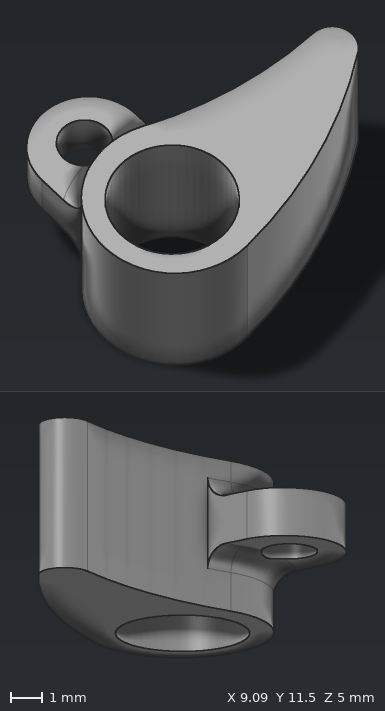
import cadquery as cq
import math

height = 5.0
boss_radius = 3.0
boss_center = (0.0, 0.12)
bore_diameter = 4.3
tip_radius = 0.84
tip_center = (-1.2, 7.81)
concave_radius = 14.3
convex_radius = 16.67

lug_half_width = 2.0
lug_end_center_x = -4.09
lug_hole_x = -4.3
lug_hole_diameter = 1.8
lug_bottom = 2.0
lug_thickness = 1.6
lug_fillet = 0.7


def circle_crossing(center_a, radius_a, center_b, radius_b):
    """Crossing of two circles that lies left of the direction from a to b."""
    dx = center_b[0] - center_a[0]
    dy = center_b[1] - center_a[1]
    distance = math.hypot(dx, dy)
    along = (distance**2 + radius_a**2 - radius_b**2) / (2 * distance)
    across = math.sqrt(radius_a**2 - along**2)
    return (
        center_a[0] + (along * dx - across * dy) / distance,
        center_a[1] + (along * dy + across * dx) / distance,
    )


def point_toward(center, target, distance):
    """Point at a signed distance from center along the line to target."""
    dx = target[0] - center[0]
    dy = target[1] - center[1]
    scale = distance / math.hypot(dx, dy)
    return (center[0] + scale * dx, center[1] + scale * dy)


def make_body():
    concave_center = circle_crossing(
        boss_center, concave_radius + boss_radius, tip_center, concave_radius + tip_radius
    )
    convex_center = circle_crossing(
        boss_center, convex_radius - boss_radius, tip_center, convex_radius - tip_radius
    )

    boss_left = point_toward(boss_center, concave_center, boss_radius)
    tip_left = point_toward(tip_center, concave_center, tip_radius)
    boss_right = point_toward(boss_center, convex_center, -boss_radius)
    tip_right = point_toward(tip_center, convex_center, -tip_radius)

    flank_middle = ((boss_center[0] + tip_center[0]) / 2, (boss_center[1] + tip_center[1]) / 2)
    concave_middle = point_toward(concave_center, flank_middle, concave_radius)
    convex_middle = point_toward(convex_center, flank_middle, convex_radius)
    tip_top = (tip_center[0], tip_center[1] + tip_radius)
    boss_bottom = (boss_center[0], boss_center[1] - boss_radius)

    return (
        cq.Workplane("XY")
        .moveTo(*boss_left)
        .threePointArc(concave_middle, tip_left)
        .threePointArc(tip_top, tip_right)
        .threePointArc(convex_middle, boss_right)
        .threePointArc(boss_bottom, boss_left)
        .close()
        .extrude(height)
    )


def make_lug():
    return (
        cq.Workplane("XY", origin=(0, 0, lug_bottom))
        .moveTo(0, lug_half_width)
        .lineTo(lug_end_center_x, lug_half_width)
        .threePointArc(
            (lug_end_center_x - lug_half_width, 0), (lug_end_center_x, -lug_half_width)
        )
        .lineTo(0, -lug_half_width)
        .close()
        .extrude(lug_thickness)
    )


def root_edges(part):
    """Curved edges where the lug's top and bottom faces meet the body."""
    margin = 0.12
    y_reach = lug_half_width + margin
    lug_top = lug_bottom + lug_thickness
    box = cq.selectors.BoxSelector(
        (-boss_radius - margin, -y_reach, lug_bottom - margin),
        (0, y_reach, lug_top + margin),
        boundingbox=True,
    )
    return part.edges(box).edges("not |Z")


def through_hole(x, diameter):
    return cq.Workplane("XY").center(x, 0).circle(diameter / 2).extrude(height)


body_with_lug = root_edges(make_body().union(make_lug())).fillet(lug_fillet)
bore = through_hole(0, bore_diameter)
lug_hole = through_hole(lug_hole_x, lug_hole_diameter)
result = body_with_lug.cut(bore).cut(lug_hole)